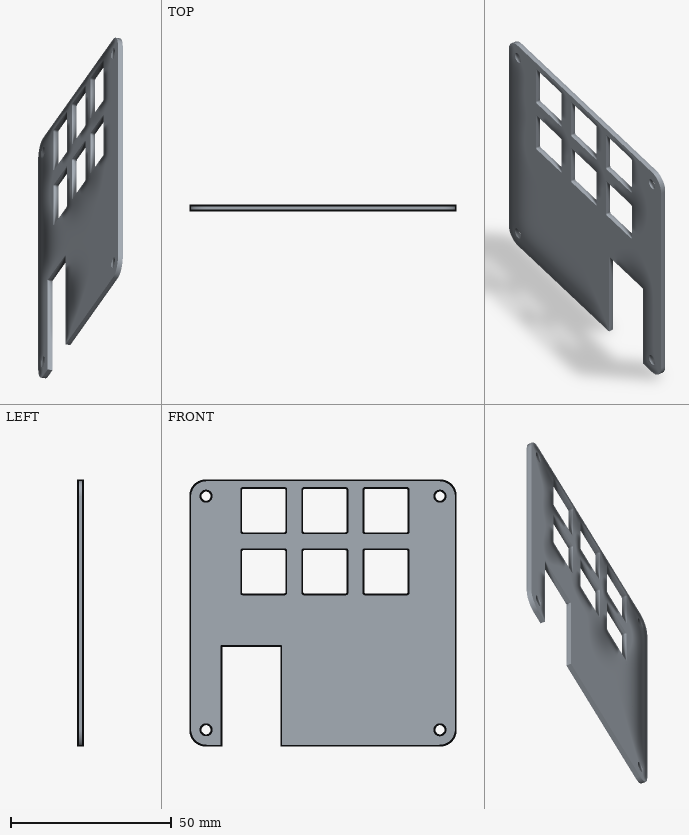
import cadquery as cq

width = 82.8
height = 82.7
thickness = 1.6
corner_radius = 5.0

hole_diameter = 3.4
hole_spacing_x = width - 2 * corner_radius
hole_spacing_z = height - 2 * corner_radius

window_columns = 3
window_rows = 2
window_size = 14.0
window_corner_radius = 0.5
window_pitch = 19.0
window_grid_center_x = 0.6
window_top_margin = 2.5

notch_width = 18.45
notch_height = 31.0
notch_left_margin = 9.85


def make_plate():
    """Rounded rectangular plate, extruded along Y about the XZ plane."""
    plate = cq.Workplane("XZ").rect(width, height).extrude(thickness / 2, both=True)
    return plate.edges("|Y").fillet(corner_radius)


def make_mounting_holes():
    """One through-hole cutter at each corner."""
    return (
        cq.Workplane("XZ")
        .rect(hole_spacing_x, hole_spacing_z, forConstruction=True)
        .vertices()
        .circle(hole_diameter / 2)
        .extrude(thickness, both=True)
    )


def make_windows():
    """Grid of square cutters with slightly rounded corners."""
    grid_height = (window_rows - 1) * window_pitch + window_size
    grid_center_z = height / 2 - window_top_margin - grid_height / 2
    return (
        cq.Workplane("XZ")
        .center(window_grid_center_x, grid_center_z)
        .rarray(window_pitch, window_pitch, window_columns, window_rows)
        .rect(window_size, window_size)
        .extrude(thickness, both=True)
        .edges("|Y")
        .fillet(window_corner_radius)
    )


def make_notch():
    """Cutter for the notch, rising from the bottom edge."""
    notch_center_x = -width / 2 + notch_left_margin + notch_width / 2
    notch_center_z = -height / 2 + notch_height / 2
    return (
        cq.Workplane("XZ")
        .center(notch_center_x, notch_center_z)
        .rect(notch_width, notch_height)
        .extrude(thickness, both=True)
    )


result = make_plate().cut(make_mounting_holes()).cut(make_windows()).cut(make_notch())